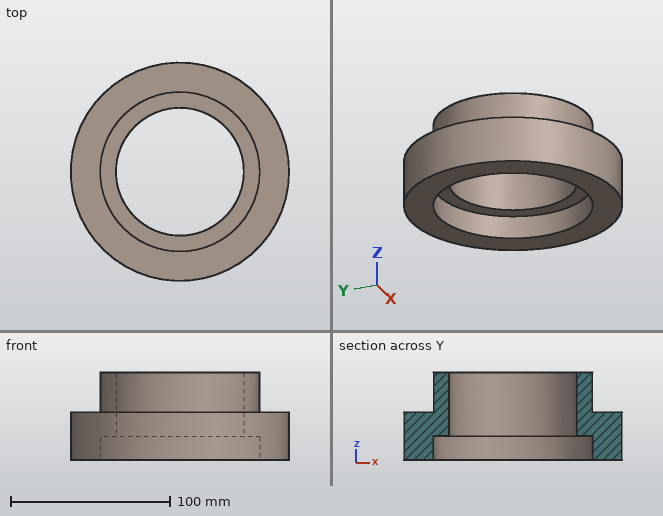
import cadquery as cq

flange_diameter = 137.0
flange_thickness = 30.0
hub_diameter = 100.0
total_height = 55.0
bore_diameter = 80.0
recess_diameter = hub_diameter
recess_depth = 15.0

flange = cq.Workplane("XY").circle(flange_diameter / 2).extrude(flange_thickness)
hub = cq.Workplane("XY").circle(hub_diameter / 2).extrude(total_height)

bore = cq.Workplane("XY").circle(bore_diameter / 2).extrude(total_height)
recess = cq.Workplane("XY").circle(recess_diameter / 2).extrude(recess_depth)

result = flange.union(hub).cut(bore).cut(recess)